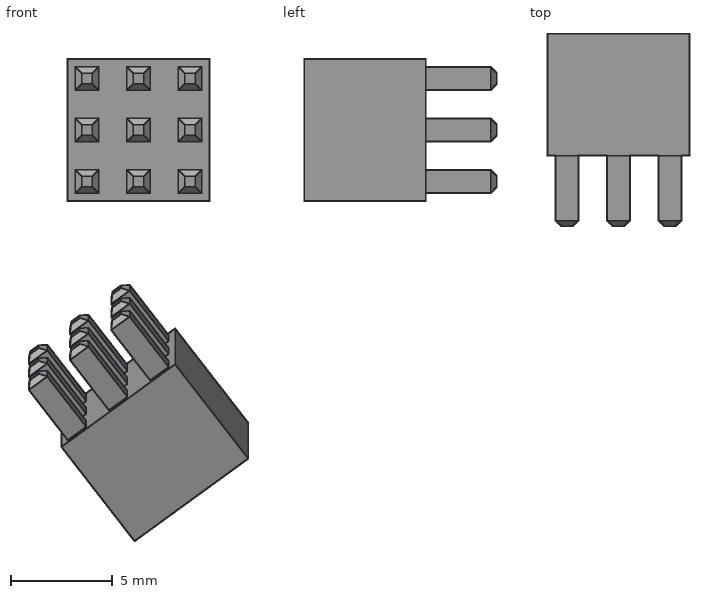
import cadquery as cq

block_side = 7.0
block_depth = 6.0
overall_length = 9.5

pins_per_side = 3
pin_pitch = 2.54
pin_side = 1.14
pin_length = overall_length - block_depth

tip_side = 0.53
tip_length = 0.29
shank_length = pin_length - tip_length


def make_block():
    """Block with its pin face on the XZ plane, extending toward +Y."""
    return cq.Workplane("XZ").rect(block_side, block_side).extrude(-block_depth)


def make_pin():
    """Square shank with a tapered tip, pointing toward -Y from the origin."""
    shank = cq.Workplane("XZ").rect(pin_side, pin_side).extrude(shank_length)
    tip = (
        cq.Workplane("XZ")
        .workplane(offset=shank_length)
        .rect(pin_side, pin_side)
        .workplane(offset=tip_length)
        .rect(tip_side, tip_side)
        .loft(ruled=True)
    )
    return shank.union(tip)


pin_centers = [(i - (pins_per_side - 1) / 2) * pin_pitch for i in range(pins_per_side)]

result = make_block()
pin = make_pin()
for x in pin_centers:
    for z in pin_centers:
        result = result.union(pin.translate((x, 0, z)))